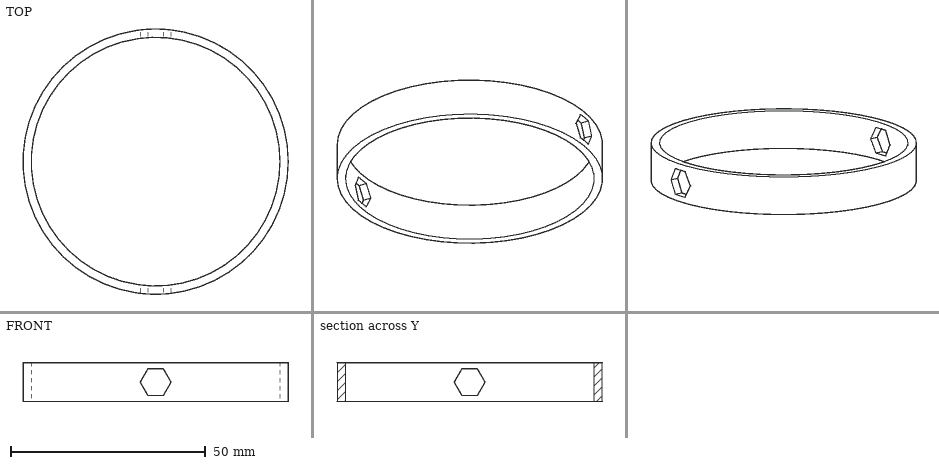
import cadquery as cq
import math

outer_diameter = 68.2
wall_thickness = 2.2
height = 10.0
inner_diameter = outer_diameter - 2 * wall_thickness

hex_across_flats = 6.8
hex_across_corners = hex_across_flats / math.cos(math.radians(30))


def make_ring():
    """Plain band standing on the XY plane."""
    return (
        cq.Workplane("XY")
        .circle(outer_diameter / 2)
        .circle(inner_diameter / 2)
        .extrude(height)
    )


def make_hex_bar():
    """Hexagonal bar along Y at mid height, long enough to pierce both walls."""
    return (
        cq.Workplane("XZ", origin=(0, 0, height / 2))
        .polygon(6, hex_across_corners)
        .extrude(outer_diameter / 2, both=True)
    )


result = make_ring().cut(make_hex_bar())